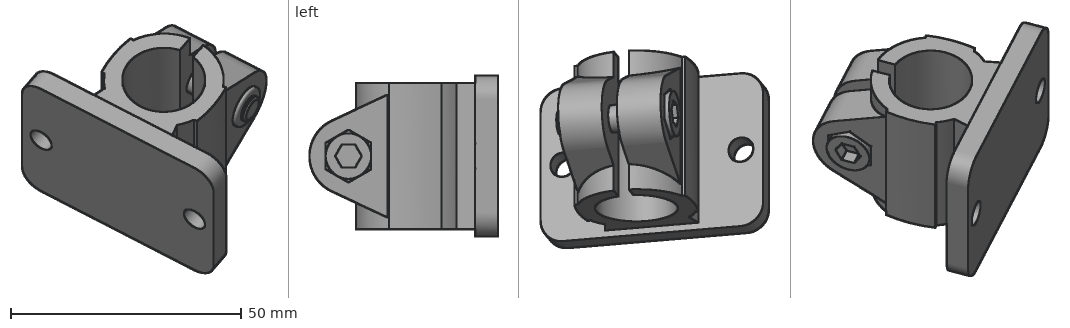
import cadquery as cq
import math

plate_width = 50.0
plate_height = 35.0
plate_thickness = 5.0
plate_corner_radius = 5.0
plate_hole_diameter = 5.5
plate_hole_spacing = 40.0

ring_center_y = 18.0
ring_radius = 13.0
ring_height = 31.8
bore_diameter = 18.0
slot_width = 3.4

pad_width = 11.35
pad_bulge_radius = 30.0

foot_base_width = 21.0
foot_taper_angle = 15.0

bolt_y = 32.5
lug_radius = 8.5
lug_flank_angle = 25.0
lug_outer_x = 11.5

bolt_diameter = 6.0
bolt_tip_x = 13.5
bolt_tip_chamfer = 0.5
head_diameter = 9.9
head_end_x = -12.5
pocket_depth = 5.0
pocket_across_flats = head_diameter
socket_across_flats = 5.0
socket_depth = 3.0

collar_diameter = 9.6
collar_thickness = 1.0
collar_rim_radius = 0.5


def make_plate():
    plate = (
        cq.Workplane("XZ")
        .rect(plate_width, plate_height)
        .extrude(-plate_thickness)
        .edges("|Y")
        .fillet(plate_corner_radius)
    )
    holes = (
        cq.Workplane("XZ")
        .rarray(plate_hole_spacing, 0.5, 2, 1)
        .circle(plate_hole_diameter / 2)
        .extrude(-plate_thickness)
    )
    return plate.cut(holes)


def ring_workplane():
    """XY plane at the bottom of the ring, centred on its axis."""
    return cq.Workplane("XY", origin=(0, ring_center_y, -ring_height / 2))


def make_pads():
    half_width = pad_width / 2
    sagitta = pad_bulge_radius - math.sqrt(pad_bulge_radius**2 - half_width**2)
    edge_x = ring_radius - sagitta
    return (
        ring_workplane()
        .moveTo(edge_x, -half_width)
        .threePointArc((ring_radius, 0), (edge_x, half_width))
        .lineTo(-edge_x, half_width)
        .threePointArc((-ring_radius, 0), (-edge_x, -half_width))
        .close()
        .extrude(ring_height)
    )


def make_foot():
    base_y = plate_thickness - ring_center_y
    top_half_width = foot_base_width / 2 + base_y * math.tan(math.radians(foot_taper_angle))
    return (
        ring_workplane()
        .moveTo(-foot_base_width / 2, base_y)
        .lineTo(foot_base_width / 2, base_y)
        .lineTo(top_half_width, 0)
        .lineTo(-top_half_width, 0)
        .close()
        .extrude(ring_height)
    )


def make_lugs():
    angle = math.radians(lug_flank_angle)
    tangent_y = bolt_y + lug_radius * math.sin(angle)
    tangent_z = lug_radius * math.cos(angle)
    root_y = ring_center_y + math.sqrt(ring_radius**2 - lug_outer_x**2)
    root_z = tangent_z + (tangent_y - root_y) * math.tan(angle)
    return (
        cq.Workplane("YZ")
        .moveTo(ring_center_y, -root_z)
        .lineTo(root_y, -root_z)
        .lineTo(tangent_y, -tangent_z)
        .threePointArc((bolt_y + lug_radius, 0), (tangent_y, tangent_z))
        .lineTo(root_y, root_z)
        .lineTo(ring_center_y, root_z)
        .close()
        .extrude(lug_outer_x, both=True)
    )


def make_clamp():
    ring = ring_workplane().circle(ring_radius).extrude(ring_height)
    bore = ring_workplane().circle(bore_diameter / 2).extrude(ring_height)
    slot_length = bolt_y + lug_radius - ring_center_y
    slot = (
        ring_workplane()
        .center(0, slot_length / 2)
        .rect(slot_width, slot_length)
        .extrude(ring_height)
    )
    solid_clamp = ring.union(make_pads()).union(make_foot()).union(make_lugs())
    return solid_clamp.cut(bore).cut(slot)


def bolt_workplane(x):
    """Plane across the bolt axis at x, facing +X."""
    return cq.Workplane("YZ", origin=(x, bolt_y, 0))


def hexagonal_prism(x, across_flats, length, corner_angle):
    """Hexagonal prism along +X; corner_angle is measured from Y to one corner."""
    corner_diameter = across_flats / math.cos(math.radians(30))
    prism = bolt_workplane(x).polygon(6, corner_diameter).extrude(length)
    return prism.rotate((0, bolt_y, 0), (1, bolt_y, 0), corner_angle)


def make_bolt():
    head_height = pocket_depth - lug_outer_x - head_end_x
    shank = (
        bolt_workplane(head_end_x)
        .circle(bolt_diameter / 2)
        .extrude(bolt_tip_x - head_end_x)
        .faces(">X")
        .chamfer(bolt_tip_chamfer)
    )
    head = bolt_workplane(head_end_x).circle(head_diameter / 2).extrude(head_height)
    socket = hexagonal_prism(head_end_x, socket_across_flats, socket_depth, 0)
    return shank.union(head).cut(socket)


def make_nut_collar():
    return (
        bolt_workplane(lug_outer_x)
        .circle(collar_diameter / 2)
        .extrude(collar_thickness)
        .faces(">X")
        .edges()
        .fillet(collar_rim_radius)
    )


head_pocket = hexagonal_prism(-lug_outer_x, pocket_across_flats, pocket_depth, 90)
clamp = make_clamp().cut(head_pocket)
result = make_plate().union(clamp).union(make_bolt()).union(make_nut_collar())